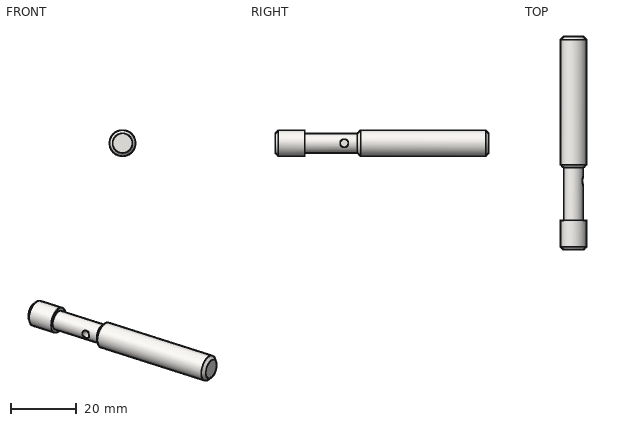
import cadquery as cq

total_length = 65.0
body_diameter = 8.0
neck_diameter = 6.0
head_length = 9.0
neck_length = 16.0
end_chamfer = 1.0
cross_hole_diameter = 2.5
hole_to_shank = 4.0

neck_end = head_length + neck_length
shank_length = total_length - neck_end
cross_hole_y = neck_end - hole_to_shank
neck_radius = neck_diameter / 2


def cylinder_along_y(diameter, start, length):
    """Cylinder on the Y axis, from Y = start towards +Y."""
    return (
        cq.Workplane("XZ", origin=(0, start, 0))
        .circle(diameter / 2)
        .extrude(-length)
    )


def make_head():
    """Short head with its free end chamfered."""
    return cylinder_along_y(body_diameter, 0, head_length).faces("<Y").chamfer(end_chamfer)


def make_neck():
    """Plain reduced neck joining the head to the shank."""
    return cylinder_along_y(neck_diameter, head_length, neck_length)


def make_shank():
    """Long shank chamfered at both ends."""
    shank = cylinder_along_y(body_diameter, neck_end, shank_length)
    return shank.faces("<Y or >Y").chamfer(end_chamfer)


def make_cross_hole():
    """Blind radial hole running from the +X side of the neck to the pin axis."""
    return (
        cq.Workplane("YZ")
        .center(cross_hole_y, 0)
        .circle(cross_hole_diameter / 2)
        .extrude(neck_radius)
    )


result = make_head().union(make_neck()).union(make_shank()).cut(make_cross_hole())